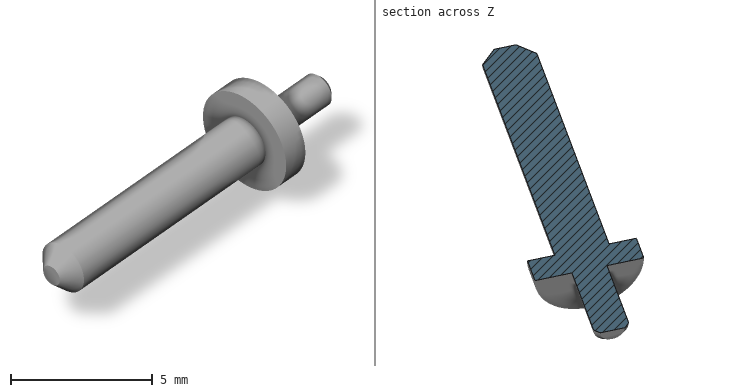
import cadquery as cq

total_length = 14.0
shaft_diameter = 2.0
shaft_length = 10.0
shaft_chamfer = 0.6
flange_diameter = 4.0
flange_thickness = 1.0
tail_diameter = 1.3
tail_chamfer = 0.2
tail_length = total_length - shaft_length - flange_thickness


def cylinder_along_y(diameter, start, length):
    """Solid cylinder on the Y axis, growing toward +Y from start."""
    plane = cq.Plane(origin=(0, start, 0), xDir=(1, 0, 0), normal=(0, 1, 0))
    return cq.Workplane(plane).circle(diameter / 2).extrude(length)


shaft = cylinder_along_y(shaft_diameter, -shaft_length, shaft_length)
shaft = shaft.faces("<Y").chamfer(shaft_chamfer)

flange = cylinder_along_y(flange_diameter, 0, flange_thickness)

tail = cylinder_along_y(tail_diameter, flange_thickness, tail_length)
tail = tail.faces(">Y").chamfer(tail_chamfer)

result = shaft.union(flange).union(tail)